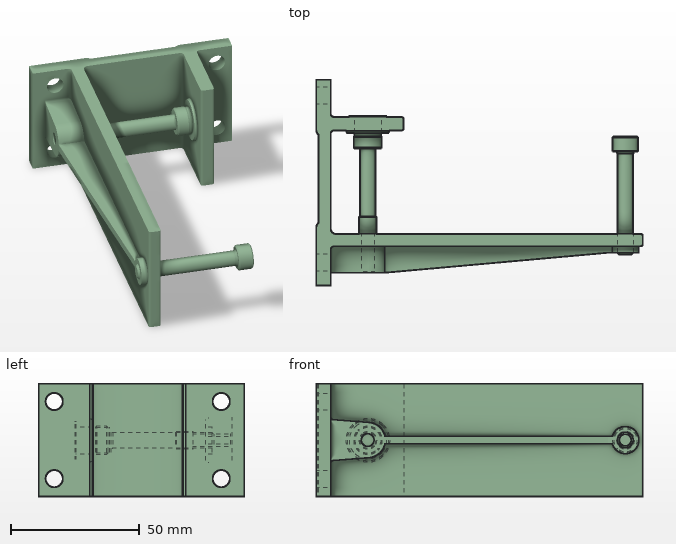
import cadquery as cq
import math

LENGTH = 127.0
HEIGHT = 80.0
WIDTH = 44.0

PLATE_THICKNESS = 5.7
RELIEF_DEPTH = 0.9
LEAD_IN_RUN = 1.1
LEAD_IN_DEPTH = RELIEF_DEPTH / 2
STEP_RUN = 0.4
RELIEF_START = 22.7
RELIEF_END = 60.2
PLATE_HOLE_DIAMETER = 6.6
PLATE_HOLE_LOW_Y = 9.0
PLATE_HOLE_HIGH_Y = 73.9
PLATE_HOLE_SPACING_Z = 30.0

LONG_ARM_BOTTOM = 15.2
LONG_ARM_TOP = 20.1
INNER_ROOT_RADIUS = 2.0
OUTER_ROOT_RADIUS = 1.3
ARM_END_RADIUS = 0.9

SHORT_ARM_LENGTH = 34.0
SHORT_ARM_BOTTOM = 60.2
SHORT_ARM_TOP = 65.5

SPINDLE_X = 20.1
LUG_BOTTOM = 5.0
LUG_RADIUS = 6.9
LUG_TAPER = 4.5
LUG_ROOT_RADIUS = 0.9

SCREW_X = 120.1
BOSS_DIAMETER = 10.5
BOSS_BOTTOM = 12.7
RIB_THICKNESS = 2.9
RIB_END_X = 113.4

SCREW_DIAMETER = 6.1
SCREW_TIP_DIAMETER = 4.6
SCREW_TIP_Y = 12.0
SCREW_HEAD_DIAMETER = 10.0
SCREW_HEAD_BOTTOM = 52.0
SCREW_HEAD_TOP = 57.9
SCREW_HEAD_CHAMFER = 0.5
SCREW_NECK_DIAMETER = 6.9
SCREW_NECK_HEIGHT = 0.8

TIP_DIAMETER = 5.0
TIP_RECESS = 0.6
SHOULDER_DIAMETER = 6.9
SHOULDER_TOP = 26.9
SHAFT_DIAMETER = 6.1
SHOULDER_CHAMFER = (SHOULDER_DIAMETER - SHAFT_DIAMETER) / 2
COLLAR_DIAMETER = 11.0
COLLAR_BOTTOM = 53.2
COLLAR_TOP = 58.0
COLLAR_CHAMFER = 0.5
STEM_DIAMETER = 10.5
FLANGE_DIAMETER = 17.0
FLANGE_BOTTOM = 59.2
FLANGE_CHAMFER = 0.5
BUTTON_DIAMETER = 14.5
BUTTON_TOP = 65.9


def y_cylinder(x, diameter, y_start, y_end):
    """Cylinder along Y at mid width."""
    return (
        cq.Workplane("XZ", origin=(x, y_start, 0))
        .circle(diameter / 2)
        .extrude(y_start - y_end)
    )


def turned(x, profile):
    """Solid turned about a Y axis at mid width, from (radius, y) points."""
    points = [(x + radius, y) for radius, y in profile]
    return cq.Workplane("XY").polyline(points).close().revolve(360, (x, 0, 0), (x, 1, 0))


def round_edges(body, corners, radius):
    """Fillet the Z edges that stand on the given (x, y) corners."""
    for x, y in corners:
        body = body.edges(cq.selectors.NearestToPointSelector((x, y, 0))).fillet(radius)
    return body


def make_relief():
    """Shallow recess in the mounting face: a gentle lead-in, then a steep step, at each end."""
    lead_low = RELIEF_START + LEAD_IN_RUN
    lead_high = RELIEF_END - LEAD_IN_RUN
    outline = [
        (0, RELIEF_START),
        (LEAD_IN_DEPTH, lead_low),
        (RELIEF_DEPTH, lead_low + STEP_RUN),
        (RELIEF_DEPTH, lead_high - STEP_RUN),
        (LEAD_IN_DEPTH, lead_high),
        (0, RELIEF_END),
    ]
    return cq.Workplane("XY").polyline(outline).close().extrude(WIDTH / 2, both=True)


def make_section():
    """Extruded plate with its two arms."""
    outline = [
        (0, 0),
        (PLATE_THICKNESS, 0),
        (PLATE_THICKNESS, LONG_ARM_BOTTOM),
        (LENGTH, LONG_ARM_BOTTOM),
        (LENGTH, LONG_ARM_TOP),
        (PLATE_THICKNESS, LONG_ARM_TOP),
        (PLATE_THICKNESS, SHORT_ARM_BOTTOM),
        (SHORT_ARM_LENGTH, SHORT_ARM_BOTTOM),
        (SHORT_ARM_LENGTH, SHORT_ARM_TOP),
        (PLATE_THICKNESS, SHORT_ARM_TOP),
        (PLATE_THICKNESS, HEIGHT),
        (0, HEIGHT),
    ]
    body = cq.Workplane("XY").polyline(outline).close().extrude(WIDTH / 2, both=True)
    body = body.cut(make_relief())
    inner_root = [(PLATE_THICKNESS, LONG_ARM_TOP)]
    outer_roots = [(PLATE_THICKNESS, y) for y in (LONG_ARM_BOTTOM, SHORT_ARM_BOTTOM, SHORT_ARM_TOP)]
    arm_ends = [(LENGTH, LONG_ARM_BOTTOM), (LENGTH, LONG_ARM_TOP)]
    arm_ends += [(SHORT_ARM_LENGTH, SHORT_ARM_BOTTOM), (SHORT_ARM_LENGTH, SHORT_ARM_TOP)]
    body = round_edges(body, inner_root, INNER_ROOT_RADIUS)
    body = round_edges(body, outer_roots, OUTER_ROOT_RADIUS)
    return round_edges(body, arm_ends, ARM_END_RADIUS)


def make_lug():
    """Tapered lug with a round nose, flared by a small fillet where it leaves the plate."""
    taper = math.radians(LUG_TAPER)
    tangent_x = SPINDLE_X + LUG_RADIUS * math.sin(taper)
    tangent_z = LUG_RADIUS * math.cos(taper)
    root_z = tangent_z + (tangent_x - PLATE_THICKNESS) * math.tan(taper)
    fillet_x = PLATE_THICKNESS + LUG_ROOT_RADIUS
    fillet_z = root_z + LUG_ROOT_RADIUS * (1 / math.cos(taper) - math.tan(taper))
    side_x = fillet_x - LUG_ROOT_RADIUS * math.sin(taper)
    side_z = fillet_z - LUG_ROOT_RADIUS * math.cos(taper)
    middle = math.radians(225) - taper / 2
    mid_x = fillet_x + LUG_ROOT_RADIUS * math.cos(middle)
    mid_z = fillet_z + LUG_ROOT_RADIUS * math.sin(middle)
    return (
        cq.Workplane("XZ", origin=(0, LUG_BOTTOM, 0))
        .moveTo(PLATE_THICKNESS, -fillet_z)
        .threePointArc((mid_x, -mid_z), (side_x, -side_z))
        .lineTo(tangent_x, -tangent_z)
        .threePointArc((SPINDLE_X + LUG_RADIUS, 0), (tangent_x, tangent_z))
        .lineTo(side_x, side_z)
        .threePointArc((mid_x, mid_z), (PLATE_THICKNESS, fillet_z))
        .close()
        .extrude(LUG_BOTTOM - LONG_ARM_TOP)
    )


def make_rib():
    """Rib that tapers from the nose of the lug to the arm-end boss."""
    outline = [
        (SPINDLE_X, LONG_ARM_TOP),
        (SPINDLE_X, LUG_BOTTOM),
        (SPINDLE_X + LUG_RADIUS, LUG_BOTTOM),
        (RIB_END_X, BOSS_BOTTOM),
        (SCREW_X, BOSS_BOTTOM),
        (SCREW_X, LONG_ARM_TOP),
    ]
    return cq.Workplane("XY").polyline(outline).close().extrude(RIB_THICKNESS / 2, both=True)


def make_plate_holes():
    """Four mounting holes through the base plate."""
    middle_y = (PLATE_HOLE_LOW_Y + PLATE_HOLE_HIGH_Y) / 2
    return (
        cq.Workplane("YZ", origin=(0, middle_y, 0))
        .rarray(PLATE_HOLE_HIGH_Y - PLATE_HOLE_LOW_Y, PLATE_HOLE_SPACING_Z, 2, 2)
        .circle(PLATE_HOLE_DIAMETER / 2)
        .extrude(PLATE_THICKNESS)
    )


def make_bracket():
    """Bracket with bores that match the clamp screw and the spindle."""
    body = make_section().union(make_lug()).union(make_rib())
    body = body.union(y_cylinder(SCREW_X, BOSS_DIAMETER, BOSS_BOTTOM, LONG_ARM_TOP))
    body = body.cut(make_plate_holes())
    body = body.cut(y_cylinder(SCREW_X, SCREW_DIAMETER, BOSS_BOTTOM, LONG_ARM_TOP))
    body = body.cut(y_cylinder(SPINDLE_X, TIP_DIAMETER, LUG_BOTTOM, LONG_ARM_TOP))
    return body.cut(y_cylinder(SPINDLE_X, STEM_DIAMETER, SHORT_ARM_BOTTOM, SHORT_ARM_TOP))


def make_clamp_screw():
    """Cap-head screw through the end of the long arm, with a chamfered tip."""
    shank = SCREW_DIAMETER / 2
    tip = SCREW_TIP_DIAMETER / 2
    head = SCREW_HEAD_DIAMETER / 2
    neck = SCREW_NECK_DIAMETER / 2
    return turned(SCREW_X, [
        (0, SCREW_TIP_Y),
        (tip, SCREW_TIP_Y),
        (shank, SCREW_TIP_Y + shank - tip),
        (shank, SCREW_HEAD_BOTTOM - SCREW_NECK_HEIGHT),
        (neck, SCREW_HEAD_BOTTOM),
        (head - SCREW_HEAD_CHAMFER, SCREW_HEAD_BOTTOM),
        (head, SCREW_HEAD_BOTTOM + SCREW_HEAD_CHAMFER),
        (head, SCREW_HEAD_TOP - SCREW_HEAD_CHAMFER),
        (head - SCREW_HEAD_CHAMFER, SCREW_HEAD_TOP),
        (0, SCREW_HEAD_TOP),
    ])


def make_spindle():
    """Spindle held between the arms: tip in the lug, stem and button in the short arm."""
    tip = TIP_DIAMETER / 2
    shoulder = SHOULDER_DIAMETER / 2
    shaft = SHAFT_DIAMETER / 2
    collar = COLLAR_DIAMETER / 2
    stem = STEM_DIAMETER / 2
    flange = FLANGE_DIAMETER / 2
    button = BUTTON_DIAMETER / 2
    return turned(SPINDLE_X, [
        (0, LUG_BOTTOM + TIP_RECESS),
        (tip, LUG_BOTTOM + TIP_RECESS),
        (tip, LONG_ARM_TOP),
        (shoulder, LONG_ARM_TOP),
        (shoulder, SHOULDER_TOP - SHOULDER_CHAMFER),
        (shaft, SHOULDER_TOP),
        (shaft, COLLAR_BOTTOM),
        (collar - COLLAR_CHAMFER, COLLAR_BOTTOM),
        (collar, COLLAR_BOTTOM + COLLAR_CHAMFER),
        (collar, COLLAR_TOP - COLLAR_CHAMFER),
        (stem, COLLAR_TOP),
        (stem, FLANGE_BOTTOM),
        (flange - FLANGE_CHAMFER, FLANGE_BOTTOM),
        (flange, SHORT_ARM_BOTTOM),
        (stem, SHORT_ARM_BOTTOM),
        (stem, SHORT_ARM_TOP),
        (button, SHORT_ARM_TOP),
        (button, BUTTON_TOP),
        (0, BUTTON_TOP),
    ])


bracket = make_bracket()
clamp_screw = make_clamp_screw()
spindle = make_spindle()

result = cq.Compound.makeCompound([bracket.val(), clamp_screw.val(), spindle.val()])